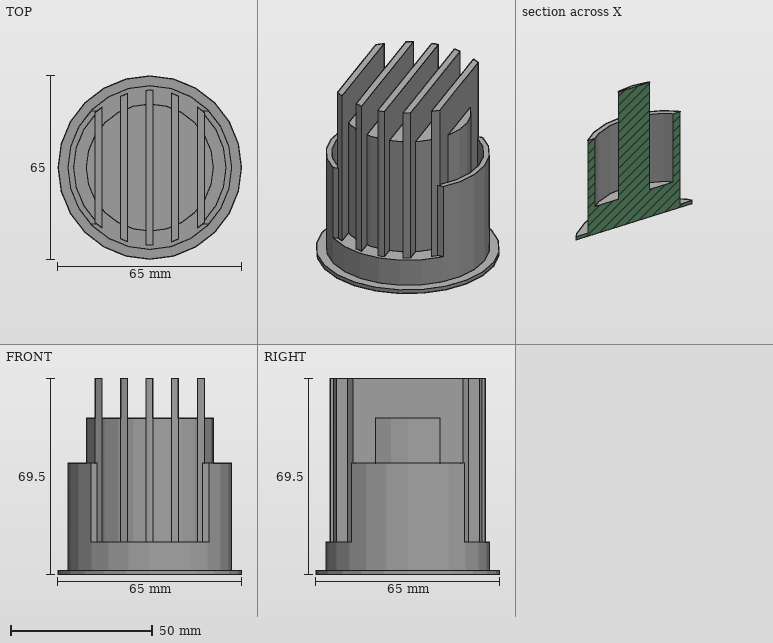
import cadquery as cq

side_count = 24

flange_diameter = 65.0
flange_thickness = 1.5

body_diameter = 58.0
drum_height = 10.0
wall_height = 28.0
wall_thickness = 2.0
wall_width = 40.0

core_diameter = 45.0
core_height = 44.0

fin_thickness = 2.5
fin_pitch = 9.0
pitched_fin_count = 4
outer_fin_x = 18.13
fin_height = 58.0
fin_envelope_diameter = 55.0

drum_top = flange_thickness + drum_height


def prism(diameter, height, base_z):
    """Upright regular prism on the Z axis, with a corner on +X; diameter is across corners."""
    return cq.Workplane("XY").workplane(offset=base_z).polygon(side_count, diameter).extrude(height)


def block(length_x, length_y, height, base_z, center_x=0.0):
    """Upright rectangular block standing at base_z, centred on Y."""
    return (
        cq.Workplane("XY")
        .workplane(offset=base_z)
        .center(center_x, 0)
        .rect(length_x, length_y)
        .extrude(height)
    )


def side_walls():
    """Two opposite arc walls left after trimming a ring at the front and back."""
    outer = prism(body_diameter, wall_height, drum_top)
    inner = prism(body_diameter - 2 * wall_thickness, wall_height, drum_top)
    trim = block(body_diameter, wall_width, wall_height, drum_top)
    return outer.cut(inner).intersect(trim)


def fin(center_x):
    """One plate fin whose ends follow the round envelope."""
    plate = block(fin_thickness, fin_envelope_diameter, fin_height, drum_top, center_x)
    return plate.intersect(prism(fin_envelope_diameter, fin_height, drum_top))


result = prism(flange_diameter, flange_thickness, 0)
result = result.union(prism(body_diameter, drum_height, flange_thickness))
result = result.union(side_walls())
result = result.union(prism(core_diameter, core_height, drum_top))
for index in range(pitched_fin_count):
    result = result.union(fin(-outer_fin_x + index * fin_pitch))
result = result.union(fin(outer_fin_x))